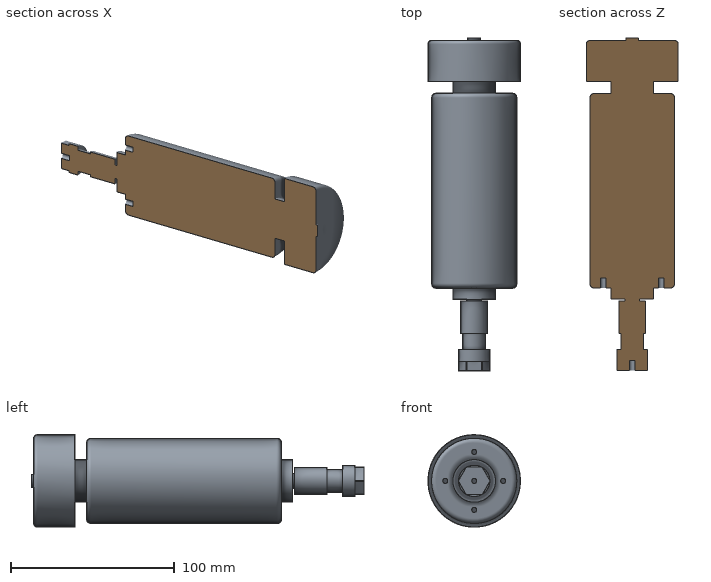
import cadquery as cq
import math


HEX_LENGTH = 5.7
COLLAR_LENGTH = 7.5
SHANK_LENGTH = 9.5
SHAFT_LENGTH = 20.0
NECK_LENGTH = 1.0
FLANGE_LENGTH = 6.7
BODY_LENGTH = 119.0
GAP_LENGTH = 7.1
PULLEY_LENGTH = 25.2
STUB_LENGTH = 1.5

HEX_ACROSS_FLATS = 16.9
COLLAR_DIAMETER = 19.0
SHANK_DIAMETER = 14.0
SHAFT_DIAMETER = 16.5
NECK_DIAMETER = 9.1
HUB_DIAMETER = 26.0
BODY_DIAMETER = 52.0
PULLEY_DIAMETER = 56.5
STUB_DIAMETER = 8.0

BODY_FILLET = 2.8
PULLEY_FILLET = 2.5

HOLE_DIAMETER = 3.0
HOLE_DEPTH = 6.0
HOLE_CIRCLE_RADIUS = 17.7
HOLE_COUNT = 4

COLLAR_START = HEX_LENGTH
SHANK_START = COLLAR_START + COLLAR_LENGTH
SHAFT_START = SHANK_START + SHANK_LENGTH
NECK_START = SHAFT_START + SHAFT_LENGTH
FLANGE_START = NECK_START + NECK_LENGTH
BODY_START = FLANGE_START + FLANGE_LENGTH
GAP_START = BODY_START + BODY_LENGTH
PULLEY_START = GAP_START + GAP_LENGTH
STUB_START = PULLEY_START + PULLEY_LENGTH


def plane_at(y):
    """Work plane at y whose normal points toward +Y and local x along +X."""
    return cq.Workplane(cq.Plane(origin=(0, y, 0), xDir=(1, 0, 0), normal=(0, 1, 0)))


def cylinder(start, length, diameter):
    return plane_at(start).circle(diameter / 2).extrude(length)


def hole(x, y, z):
    """Blind hole drilled toward +Y from the point (x, y, z)."""
    return cylinder(y, HOLE_DEPTH, HOLE_DIAMETER).translate((x, 0, z))


hex_across_corners = HEX_ACROSS_FLATS / math.cos(math.pi / 6)
hex_prism = plane_at(0).polygon(6, hex_across_corners).extrude(HEX_LENGTH)
hex_head = hex_prism.intersect(cylinder(0, HEX_LENGTH, COLLAR_DIAMETER))

body = cylinder(BODY_START, BODY_LENGTH, BODY_DIAMETER)
body = body.faces("<Y or >Y").edges().fillet(BODY_FILLET)
pulley = cylinder(PULLEY_START, PULLEY_LENGTH, PULLEY_DIAMETER)
pulley = pulley.faces(">Y").edges().fillet(PULLEY_FILLET)

steps = [
    cylinder(COLLAR_START, COLLAR_LENGTH, COLLAR_DIAMETER),
    cylinder(SHANK_START, SHANK_LENGTH, SHANK_DIAMETER),
    cylinder(SHAFT_START, SHAFT_LENGTH, SHAFT_DIAMETER),
    cylinder(NECK_START, NECK_LENGTH, NECK_DIAMETER),
    cylinder(FLANGE_START, FLANGE_LENGTH, HUB_DIAMETER),
    cylinder(GAP_START, GAP_LENGTH, HUB_DIAMETER),
    cylinder(STUB_START, STUB_LENGTH, STUB_DIAMETER),
]

result = hex_head.union(body).union(pulley)
for step in steps:
    result = result.union(step)

result = result.cut(hole(0, 0, 0))
for index in range(HOLE_COUNT):
    angle = 2 * math.pi * index / HOLE_COUNT
    hole_x = HOLE_CIRCLE_RADIUS * math.cos(angle)
    hole_z = HOLE_CIRCLE_RADIUS * math.sin(angle)
    result = result.cut(hole(hole_x, BODY_START, hole_z))